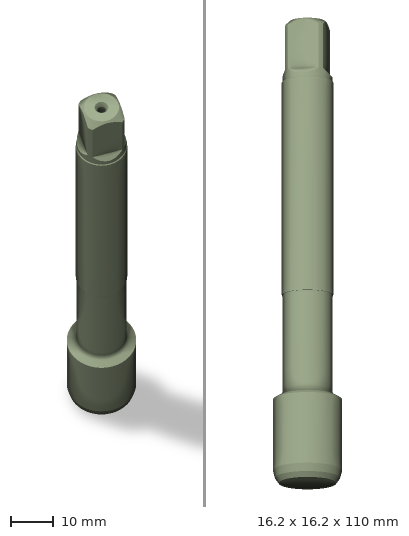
import cadquery as cq
import math

total_height = 110.0
head_diameter = 16.2
neck_diameter = 11.7
shank_diameter = 12.0
drive_diameter = 11.5

head_top = 19.9
shank_bottom = 44.8
shank_top = 95.6

lead_height = 3.1
lead_angle = 15.0
tip_chamfer_height = 1.2
tip_chamfer_width = 0.9

shoulder_angle = 30.0
shoulder_fillet = 1.1

square_width = 9.0
flat_bottom = 97.9
runout_angle = 45.0
top_face_diameter = 8.1
top_cone_height = 1.5

centre_hole_diameter = 2.0
centre_hole_depth = 3.3
countersink_diameter = 3.2
countersink_angle = 60.0
drill_point_angle = 120.0


def make_head():
    """Cylindrical head with a slender lead cone and a chamfered tip."""
    radius = head_diameter / 2
    lead_radius = radius - (lead_height - tip_chamfer_height) * math.tan(math.radians(lead_angle))
    return (
        cq.Workplane("XZ")
        .moveTo(0, 0)
        .lineTo(lead_radius - tip_chamfer_width, 0)
        .lineTo(lead_radius, tip_chamfer_height)
        .lineTo(radius, lead_height)
        .lineTo(radius, head_top)
        .lineTo(0, head_top)
        .close()
        .revolve(360, (0, 0, 0), (0, 1, 0))
    )


def make_shaft_blank():
    """Round shaft: shoulder, neck, shank and the cone-topped drive end."""
    head_radius = head_diameter / 2
    neck_radius = neck_diameter / 2
    shank_radius = shank_diameter / 2
    drive_radius = drive_diameter / 2
    shank_chamfer = shank_radius - drive_radius

    slope = math.radians(shoulder_angle)
    arc_centre_radius = neck_radius + shoulder_fillet
    cone_top_radius = arc_centre_radius - shoulder_fillet * math.sin(slope)
    cone_top = head_top + (head_radius - cone_top_radius) * math.tan(slope)
    arc_centre_height = cone_top + shoulder_fillet * math.cos(slope)
    middle_angle = slope + (math.pi / 2 - slope) / 2
    arc_middle = (
        arc_centre_radius - shoulder_fillet * math.sin(middle_angle),
        arc_centre_height - shoulder_fillet * math.cos(middle_angle),
    )

    return (
        cq.Workplane("XZ")
        .moveTo(0, head_top)
        .lineTo(head_radius, head_top)
        .lineTo(cone_top_radius, cone_top)
        .threePointArc(arc_middle, (neck_radius, arc_centre_height))
        .lineTo(neck_radius, shank_bottom)
        .lineTo(shank_radius, shank_bottom)
        .lineTo(shank_radius, shank_top - shank_chamfer)
        .lineTo(drive_radius, shank_top)
        .lineTo(drive_radius, total_height - top_cone_height)
        .lineTo(top_face_diameter / 2, total_height)
        .lineTo(0, total_height)
        .close()
        .revolve(360, (0, 0, 0), (0, 1, 0))
    )


def make_flat_cutter():
    """Block that cuts the +X flat, with a sloping floor."""
    inner = square_width / 2
    outer = shank_diameter
    runout_drop = (outer - inner) * math.tan(math.radians(runout_angle))
    return (
        cq.Workplane("XZ")
        .moveTo(inner, flat_bottom)
        .lineTo(outer, flat_bottom - runout_drop)
        .lineTo(outer, total_height)
        .lineTo(inner, total_height)
        .close()
        .extrude(shank_diameter / 2, both=True)
    )


def make_centre_hole_cutter():
    """Countersunk drill shape: entry cone, straight bore and drill point."""
    bore_radius = centre_hole_diameter / 2
    entry_radius = countersink_diameter / 2
    entry_depth = (entry_radius - bore_radius) / math.tan(math.radians(countersink_angle / 2))
    point_depth = bore_radius / math.tan(math.radians(drill_point_angle / 2))
    bore_bottom = total_height - centre_hole_depth
    return (
        cq.Workplane("XZ")
        .moveTo(0, total_height)
        .lineTo(entry_radius, total_height)
        .lineTo(bore_radius, total_height - entry_depth)
        .lineTo(bore_radius, bore_bottom)
        .lineTo(0, bore_bottom - point_depth)
        .close()
        .revolve(360, (0, 0, 0), (0, 1, 0))
    )


def make_shaft():
    """Shaft with its square drive and countersunk centre hole."""
    shaft = make_shaft_blank()
    flat_cutter = make_flat_cutter()
    for angle in (0, 90, 180, 270):
        shaft = shaft.cut(flat_cutter.rotate((0, 0, 0), (0, 0, 1), angle))
    return shaft.cut(make_centre_hole_cutter())


head = make_head()
shaft = make_shaft()

result = cq.Compound.makeCompound([head.val(), shaft.val()])